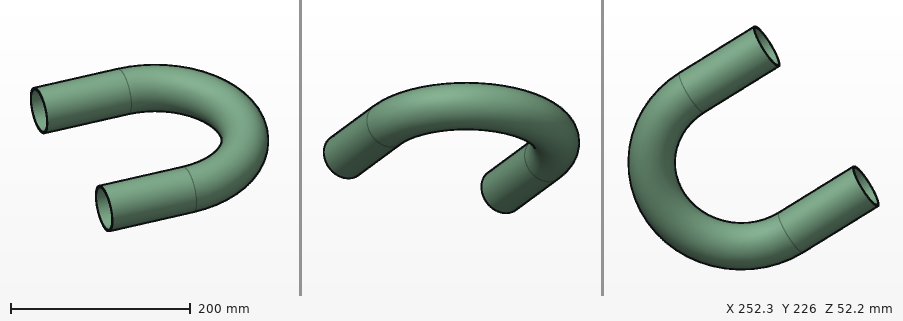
import cadquery as cq

overall_width = 252.3
overall_length = 226.0
pipe_diameter = 52.2
wall_thickness = 2.0

leg_length = overall_length - overall_width / 2
bend_radius = (overall_width - pipe_diameter) / 2

centreline = (
    cq.Workplane("XY")
    .moveTo(-bend_radius, -leg_length)
    .lineTo(-bend_radius, 0)
    .threePointArc((0, bend_radius), (bend_radius, 0))
    .lineTo(bend_radius, -leg_length)
)

outer_radius = pipe_diameter / 2
inner_radius = outer_radius - wall_thickness
result = (
    cq.Workplane("XZ", origin=(-bend_radius, -leg_length, 0))
    .circle(outer_radius)
    .circle(inner_radius)
    .sweep(centreline)
)